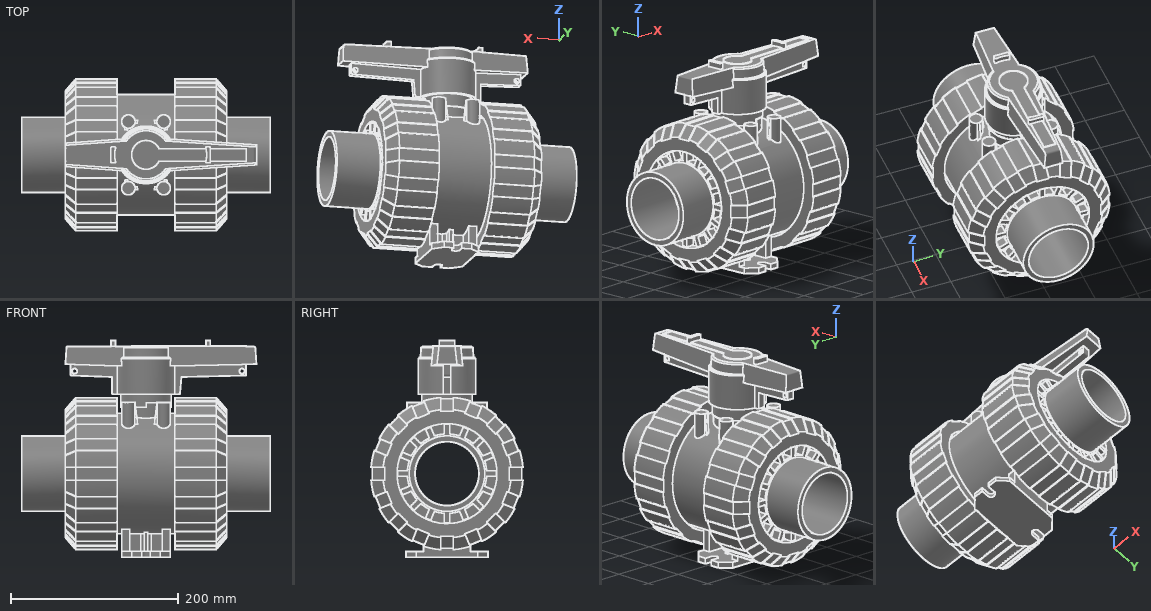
import cadquery as cq
import math


total_length = 297
pipe_radius = 45.0
bore_radius = 38.0

nut_inner_x = 34.5
nut_chamfer_x = 83.8
nut_outer_x = 96.5
nut_shoulder_x = 83.2
nut_radius = 91.2
nut_face_radius = 76.5
nut_bore_radius = 75.0
nut_hole_radius = 59.7
grip_count = 16
grip_groove_width = 15.5
grip_floor = 89.5
grip_floor_at_face = 74.5

connector_face_x = 95.0
connector_neck_radius = 47.5
tooth_tip_radius = 58.8
tooth_width = 6.5
tooth_count = 16

body_radius = 72.2
body_half_length = 71.3
neck_radius = 28.8
post_x = 21.0
post_y = 39.8
post_radius = 8.0
post_top_z = 85.0
tab_foot_z = 59.5
tab_width = 3.5
tab_reach = 3.0
side_tab_tilt = 16

foot_bottom_z = -100.0
foot_plate_height = 7.0
foot_half_x = 29.0
foot_half_y = 49.0
foot_chamfer = 12.2
foot_slot_width = 9.8
foot_slot_depth = 14.8
leg_thickness = 9.8
leg_half_y = 28.2
web_thickness = 6
boss_radius = 7.0
centre_rib_thickness = 4.8
centre_rib_half_y = 18.5

hub_bottom_z = 94.7
hub_radius = 34.5
rim_top_z = 138.7
rim_chamfer = 1.5
cap_base_radius = 32.0
cap_edge_radius = 31.2
cap_top_radius = 28.8
cap_edge_z = 150.3
handle_top_z = 152.0
collar_radius = 30.3
collar_bottom_z = 79.3
collar_notch_height = 5.0

arm_left_x = -96.5
arm_right_x = 132.2
arm_shoulder_x = 26.7
arm_left_half_width = 14.3
arm_right_half_width = 12.2
arm_shoulder_half_width = 19.0
arm_bottom_z = 128.5
arm_tip_z = 130.7
arm_draft = 2.7
arm_end_draft = 1.5
arm_left_round = 1.8
arm_right_round = 3.0

fin_thickness = 9.5
fin_left_x = -90.3
fin_right_x = 119.7
fin_tip_z = 117.0
fin_root_z = 115.2
fin_corner_round = 1.5
fin_hub_left_x = -40.7
fin_hub_right_x = 42.5
fin_hub_right_bottom_x = 40.7
fin_hole_radius = 3.0
fin_hole_inset = 5.0
fin_hole_z = 122.5

badge_radius = 17.2
badge_bar_width = 15.0
badge_end_x = 119.7
badge_height = 1.0
stop_top_z = 159.2
stop_centres_x = (-39.0, 74.0)
stop_thickness = 6.0
stop_length = 19.0
stop_hollow = 1.5
stop_round = 1.2


def x_cylinder(radius, start_x, end_x):
    """Solid cylinder on the pipe axis."""
    return cq.Workplane("YZ", origin=(start_x, 0, 0)).circle(radius).extrude(end_x - start_x)


def z_cylinder(radius, bottom_z, top_z):
    """Solid cylinder on the handle axis."""
    return cq.Workplane("XY", origin=(0, 0, bottom_z)).circle(radius).extrude(top_z - bottom_z)


def block(x_range, y_range, z_range):
    """Box given by its limits along each axis."""
    sizes = [limits[1] - limits[0] for limits in (x_range, y_range, z_range)]
    corner = (x_range[0], y_range[0], z_range[0])
    return cq.Workplane("XY").box(*sizes, centered=False).translate(corner)


def on_right_side(shape, side):
    """Keep a +X shape for side 1, mirror it to -X for side -1."""
    return shape if side > 0 else shape.mirror("YZ")


def make_grip_groove():
    """Flat-bottomed cutter that follows the chamfer along the top of a nut."""
    clear_radius = nut_radius + 3
    groove = (
        cq.Workplane("XZ", origin=(0, grip_groove_width / 2, 0))
        .moveTo(nut_inner_x, grip_floor)
        .lineTo(nut_chamfer_x, grip_floor)
        .lineTo(nut_outer_x, grip_floor_at_face)
        .lineTo(nut_outer_x, clear_radius)
        .lineTo(nut_inner_x, clear_radius)
        .close()
        .extrude(grip_groove_width)
    )
    return groove


def make_union_nut(side):
    nut = (
        cq.Workplane("XY")
        .moveTo(nut_inner_x, nut_bore_radius)
        .lineTo(nut_inner_x, nut_radius)
        .lineTo(nut_chamfer_x, nut_radius)
        .lineTo(nut_outer_x, nut_face_radius)
        .lineTo(nut_outer_x, nut_hole_radius)
        .lineTo(nut_shoulder_x, nut_hole_radius)
        .lineTo(nut_shoulder_x, nut_bore_radius)
        .close()
        .revolve(360, (0, 0, 0), (1, 0, 0))
    )
    groove = make_grip_groove()
    for index in range(grip_count):
        nut = nut.cut(groove.rotate((0, 0, 0), (1, 0, 0), index * 360 / grip_count))
    return on_right_side(nut, side)


def make_end_connector(side):
    """Pipe end with a flange clamped by the nut and a ring of teeth in the nut hole."""
    connector = x_cylinder(pipe_radius, body_half_length, total_length / 2)
    connector = connector.union(x_cylinder(body_radius, body_half_length, nut_shoulder_x))
    connector = connector.union(x_cylinder(connector_neck_radius, body_half_length, connector_face_x))

    tooth = block(
        (body_half_length, connector_face_x),
        (-tooth_width / 2, tooth_width / 2),
        (pipe_radius, tooth_tip_radius),
    )
    for index in range(tooth_count):
        connector = connector.union(tooth.rotate((0, 0, 0), (1, 0, 0), index * 360 / tooth_count))

    connector = connector.cut(x_cylinder(bore_radius, body_half_length, total_length / 2))
    return on_right_side(connector, side)


def make_post():
    """Round post at +X +Y with one tapered tab toward the YZ plane and one toward the neck."""
    post = z_cylinder(post_radius, 0, post_top_z)
    tab = (
        cq.Workplane("XZ")
        .moveTo(0, 0)
        .lineTo(-post_radius - tab_reach, 0)
        .lineTo(-post_radius - tab_reach, tab_foot_z)
        .lineTo(-post_radius, post_top_z)
        .lineTo(0, post_top_z)
        .close()
        .extrude(tab_width / 2, both=True)
    )
    neck_tab = tab.rotate((0, 0, 0), (0, 0, 1), 90 + side_tab_tilt)
    return post.union(tab).union(neck_tab).translate((post_x, post_y, 0))


def make_foot():
    """Slotted plate joined to the body by two legs, a web, a boss and a rib."""
    plate_top_z = foot_bottom_z + foot_plate_height
    plate = (
        block((-foot_half_x, foot_half_x), (-foot_half_y, foot_half_y), (foot_bottom_z, plate_top_z))
        .edges("|Z")
        .chamfer(foot_chamfer)
    )
    slot_radius = foot_slot_width / 2
    slot_centre_y = foot_half_y - foot_slot_depth + slot_radius
    slot = block((-slot_radius, slot_radius), (slot_centre_y, foot_half_y), (foot_bottom_z, plate_top_z))
    slot = slot.union(z_cylinder(slot_radius, foot_bottom_z, plate_top_z).translate((0, slot_centre_y, 0)))
    plate = plate.cut(slot).cut(slot.mirror("XZ"))

    support_z = (plate_top_z, -bore_radius)
    leg = block((foot_half_x - leg_thickness, foot_half_x), (-leg_half_y, leg_half_y), support_z)
    web = block((-foot_half_x, foot_half_x), (-web_thickness / 2, web_thickness / 2), support_z)
    centre_rib = block(
        (-centre_rib_thickness / 2, centre_rib_thickness / 2),
        (-centre_rib_half_y, centre_rib_half_y),
        support_z,
    )
    boss = z_cylinder(boss_radius, *support_z)
    return plate.union(leg).union(leg.mirror("YZ")).union(web).union(centre_rib).union(boss)


def make_valve_body():
    body = x_cylinder(body_radius, -body_half_length, body_half_length)
    body = body.union(z_cylinder(neck_radius, 0, hub_bottom_z))
    body = body.union(make_foot())

    right_posts = make_post()
    right_posts = right_posts.union(right_posts.mirror("XZ"))
    body = body.union(right_posts).union(right_posts.mirror("YZ"))
    return body.cut(x_cylinder(bore_radius, -body_half_length, body_half_length))


def make_hub():
    """Skirt with a chamfered rim, and a drafted cap above it."""
    return (
        cq.Workplane("XZ")
        .moveTo(0, hub_bottom_z)
        .lineTo(hub_radius, hub_bottom_z)
        .lineTo(hub_radius, rim_top_z - rim_chamfer)
        .lineTo(hub_radius - rim_chamfer, rim_top_z)
        .lineTo(cap_base_radius, rim_top_z)
        .lineTo(cap_edge_radius, cap_edge_z)
        .lineTo(cap_top_radius, handle_top_z)
        .lineTo(0, handle_top_z)
        .close()
        .revolve(360, (0, 0, 0), (0, 1, 0))
    )


def make_stop_collar():
    """Thin collar around the body neck, with a quarter notch toward +X -Y."""
    collar = z_cylinder(collar_radius, collar_bottom_z, hub_bottom_z)
    collar = collar.cut(z_cylinder(neck_radius, collar_bottom_z, hub_bottom_z))
    notch = block(
        (0, hub_radius),
        (-hub_radius, 0),
        (collar_bottom_z, collar_bottom_z + collar_notch_height),
    )
    return collar.cut(notch)


def arm_outline(inset, end_inset):
    """Corners of the arm's plan shape, drawn in by the given amounts."""
    left_x = arm_left_x + end_inset
    right_x = arm_right_x - end_inset
    upper = [
        (left_x, arm_left_half_width - inset),
        (-arm_shoulder_x, arm_shoulder_half_width - inset),
        (arm_shoulder_x, arm_shoulder_half_width - inset),
        (right_x, arm_right_half_width - inset),
    ]
    lower = [(x, -y) for x, y in reversed(upper)]
    return upper + lower


def make_arm():
    """Drafted arm whose underside rises toward both tips."""
    arm = (
        cq.Workplane("XY", origin=(0, 0, arm_bottom_z))
        .polyline(arm_outline(0, 0))
        .close()
        .workplane(offset=handle_top_z - arm_bottom_z)
        .polyline(arm_outline(arm_draft, arm_end_draft))
        .close()
        .loft(ruled=True)
    )
    arm = arm.edges(">Z").edges("<X").fillet(arm_left_round)
    arm = arm.edges(">Z").edges(">X").fillet(arm_right_round)

    for tip_x, root_x in ((arm_left_x, -hub_radius), (arm_right_x, hub_radius)):
        wedge = (
            cq.Workplane("XZ")
            .polyline([(root_x, arm_bottom_z), (tip_x, arm_bottom_z), (tip_x, arm_tip_z)])
            .close()
            .extrude(arm_shoulder_half_width, both=True)
        )
        arm = arm.cut(wedge)
    return arm


def make_fin():
    """Upright fin on the XZ plane, stepping down beside the hub, with a hole at each end."""
    fin = (
        cq.Workplane("XZ")
        .moveTo(fin_left_x, arm_tip_z)
        .lineTo(fin_left_x, fin_tip_z)
        .lineTo(fin_hub_left_x, fin_root_z)
        .lineTo(fin_hub_left_x, hub_bottom_z)
        .lineTo(fin_hub_right_bottom_x, hub_bottom_z)
        .lineTo(fin_hub_right_x, fin_root_z)
        .lineTo(fin_right_x, fin_tip_z)
        .lineTo(fin_right_x, arm_tip_z)
        .close()
        .extrude(fin_thickness / 2, both=True)
    )
    lower_faces = fin.faces("<Z or <X or >X")
    rounded_edges = lower_faces.edges("|Y").edges("not >Z")
    fin = rounded_edges.fillet(fin_corner_round)
    hole_centres = [(fin_left_x + fin_hole_inset, fin_hole_z), (fin_right_x - fin_hole_inset, fin_hole_z)]
    holes = (
        cq.Workplane("XZ")
        .pushPoints(hole_centres)
        .circle(fin_hole_radius)
        .extrude(fin_thickness / 2, both=True)
    )
    return fin.cut(holes)


def make_badge():
    """Thin raised disc with a bar along the long side of the arm."""
    badge_top_z = handle_top_z + badge_height
    bar_y = (-badge_bar_width / 2, badge_bar_width / 2)
    bar = block((0, badge_end_x), bar_y, (handle_top_z, badge_top_z))
    return z_cylinder(badge_radius, handle_top_z, badge_top_z).union(bar)


def make_top_stop(centre_x):
    """Upright stop across the arm, hollowed on the face toward the hub."""
    inward = -math.copysign(1, centre_x)
    inner_x = centre_x + inward * stop_thickness / 2
    outer_x = centre_x - inward * stop_thickness / 2
    return (
        cq.Workplane("XY", origin=(0, 0, handle_top_z))
        .moveTo(outer_x, -stop_length / 2)
        .lineTo(inner_x, -stop_length / 2)
        .threePointArc((inner_x - inward * stop_hollow, 0), (inner_x, stop_length / 2))
        .lineTo(outer_x, stop_length / 2)
        .close()
        .extrude(stop_top_z - handle_top_z)
        .edges("|Z")
        .fillet(stop_round)
    )


def make_handle():
    handle = make_hub().union(make_arm()).union(make_fin())
    handle = handle.union(make_stop_collar()).union(make_badge())
    for centre_x in stop_centres_x:
        handle = handle.union(make_top_stop(centre_x))
    return handle


valve_body = make_valve_body()
handle = make_handle()
sides = (-1, 1)
union_nuts = [make_union_nut(side) for side in sides]
end_connectors = [make_end_connector(side) for side in sides]

result = cq.Compound.makeCompound([
    valve_body.val(),
    handle.val(),
    *[nut.val() for nut in union_nuts],
    *[connector.val() for connector in end_connectors],
])